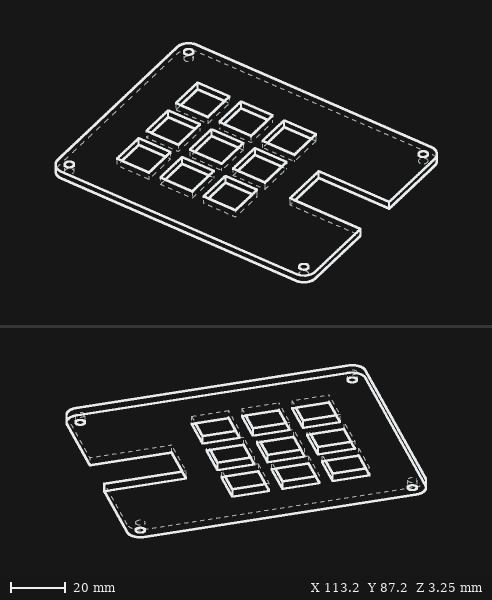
import cadquery as cq

plate_length = 113.2
plate_width = 87.24
plate_thickness = 3.25
corner_radius = 5.0

screw_hole_diameter = 3.4
screw_hole_spacing_x = plate_length - 2 * corner_radius
screw_hole_spacing_y = plate_width - 2 * corner_radius

key_opening = 14.0
key_pitch = 19.05
key_rows = 3
key_columns = 3
key_grid_center_x = -13.05

notch_depth = 31.0
notch_width = 18.5
notch_center_x = (plate_length - notch_depth) / 2


def make_plate():
    """Flat plate with rounded corners."""
    plate = cq.Workplane("XY").rect(plate_length, plate_width).extrude(plate_thickness)
    return plate.edges("|Z").fillet(corner_radius)


def make_screw_holes():
    """Cutter for the four through holes at the corners."""
    return (
        cq.Workplane("XY")
        .rect(screw_hole_spacing_x, screw_hole_spacing_y, forConstruction=True)
        .vertices()
        .circle(screw_hole_diameter / 2)
        .extrude(plate_thickness)
    )


def make_key_openings():
    """Cutter for the square through openings on a regular grid."""
    return (
        cq.Workplane("XY")
        .center(key_grid_center_x, 0)
        .rarray(key_pitch, key_pitch, key_columns, key_rows)
        .rect(key_opening, key_opening)
        .extrude(plate_thickness)
    )


def make_notch():
    """Cutter for the notch reaching in from the +X edge."""
    return (
        cq.Workplane("XY")
        .center(notch_center_x, 0)
        .rect(notch_depth, notch_width)
        .extrude(plate_thickness)
    )


result = make_plate().cut(make_screw_holes()).cut(make_key_openings()).cut(make_notch())